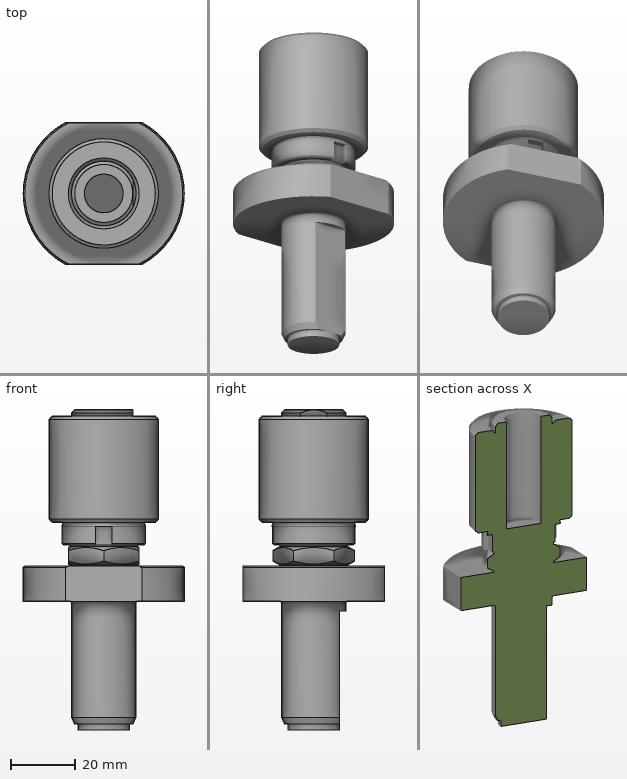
import math

import cadquery as cq


FLANGE_DIAMETER = 50.0
FLANGE_WIDTH = 44.0
FLANGE_THICKNESS = 11.0
FLANGE_CHAMFER = 0.5

SHAFT_DIAMETER = 20.0
END_DIAMETER = 16.0
END_LENGTH = 2.0
SHAFT_LENGTH = 38.0
ROOT_FILLET = 0.5
SHAFT_FLAT_OFFSET = END_DIAMETER / 2
SHAFT_FLAT_START = 3.0
SHAFT_CHAMFER_HEIGHT = 2.0
SHAFT_CHAMFER_INSET = 0.9

HEX_SIDES = 6
HEX_HALF_SECTOR = 180.0 / HEX_SIDES
HEX_ACROSS_FLATS = 22.0
WASHER_FACE_HEIGHT = 0.25
HEX_HEIGHT = 5.75
HEX_FACE_DIAMETER = 21.0
HEX_CHAMFER_ANGLE = 30.0

COLLAR_GAP = 0.5
COLLAR_DIAMETER = 26.0
COLLAR_HEIGHT = 5.75
COLLAR_CHAMFER = 0.5
COLLAR_TAPER_HEIGHT = 1.25
COLLAR_TAPER_INSET = 0.4
SLOT_WIDTH = 5.0
SLOT_FLOOR_OFFSET = 11.0

BODY_DIAMETER = 34.0
BODY_HEIGHT = 33.0
BODY_CHAMFER = 1.0

TUBE_DIAMETER = 20.0
TUBE_RISE = 2.0
TUBE_CHAMFER = 1.0
TUBE_FLAT_OFFSET = 9.1
BORE_DIAMETER = 12.0
COUNTERSINK_DIAMETER = 22.0
COUNTERSINK_DEPTH = 1.0

HEX_BOTTOM = FLANGE_THICKNESS + WASHER_FACE_HEIGHT
HEX_TOP = HEX_BOTTOM + HEX_HEIGHT
COLLAR_BOTTOM = HEX_TOP + COLLAR_GAP
COLLAR_TOP = COLLAR_BOTTOM + COLLAR_HEIGHT
BODY_BOTTOM = COLLAR_TOP + COLLAR_TAPER_HEIGHT
BODY_TOP = BODY_BOTTOM + BODY_HEIGHT
TUBE_TOP = BODY_TOP + TUBE_RISE
COUNTERSINK_FLOOR = BODY_TOP - COUNTERSINK_DEPTH


def turned(profile):
    """Revolve a closed (radius, height) profile about the Z axis."""
    return cq.Workplane("XZ").polyline(profile).close().revolve(360, (0, 0, 0), (0, 1, 0))


def disc(diameter, bottom, top):
    """Make a plain cylinder between two heights."""
    return cq.Workplane("XY").workplane(offset=bottom).circle(diameter / 2).extrude(top - bottom)


def block(x_size, y_size, bottom, top):
    """Make a rectangular block centred on the axis between two heights."""
    return cq.Workplane("XY").workplane(offset=bottom).rect(x_size, y_size).extrude(top - bottom)


def make_flange():
    rim = disc(FLANGE_DIAMETER, 0, FLANGE_THICKNESS).faces(">Z").chamfer(FLANGE_CHAMFER)
    return rim.intersect(block(FLANGE_DIAMETER, FLANGE_WIDTH, 0, FLANGE_THICKNESS))


def make_shaft():
    """Shaft with a concave root fillet under the flange, a side flat and a reduced end."""
    radius = SHAFT_DIAMETER / 2
    tip_radius = radius - SHAFT_CHAMFER_INSET
    shaft = (
        cq.Workplane("XZ")
        .lineTo(radius + ROOT_FILLET, 0)
        .radiusArc((radius, -ROOT_FILLET), -ROOT_FILLET)
        .lineTo(radius, SHAFT_CHAMFER_HEIGHT - SHAFT_LENGTH)
        .lineTo(tip_radius, -SHAFT_LENGTH)
        .lineTo(0, -SHAFT_LENGTH)
        .close()
        .revolve(360, (0, 0, 0), (0, 1, 0))
    )
    flat_cut = block(SHAFT_DIAMETER, SHAFT_DIAMETER, -SHAFT_LENGTH, -SHAFT_FLAT_START)
    flat_cut = flat_cut.translate((0, SHAFT_FLAT_OFFSET + radius, 0))
    end = disc(END_DIAMETER, -SHAFT_LENGTH - END_LENGTH, -SHAFT_LENGTH)
    return shaft.cut(flat_cut).union(end)


def make_hex_nut():
    """Hexagon with corners on the Y axis, both ends chamfered conically."""
    corner_diameter = HEX_ACROSS_FLATS / math.cos(math.radians(HEX_HALF_SECTOR))
    face_radius = HEX_FACE_DIAMETER / 2
    outer_radius = corner_diameter / 2
    drop = (outer_radius - face_radius) * math.tan(math.radians(HEX_CHAMFER_ANGLE))
    prism = (
        cq.Workplane("XY")
        .workplane(offset=HEX_BOTTOM)
        .polygon(HEX_SIDES, corner_diameter)
        .extrude(HEX_HEIGHT)
        .rotate((0, 0, 0), (0, 0, 1), HEX_HALF_SECTOR)
    )
    envelope = turned([
        (0, HEX_BOTTOM),
        (face_radius, HEX_BOTTOM),
        (outer_radius, HEX_BOTTOM + drop),
        (outer_radius, HEX_TOP - drop),
        (face_radius, HEX_TOP),
        (0, HEX_TOP),
    ])
    return prism.intersect(envelope)


def make_collar():
    """Collar with a tapered top and two opposite spanner slots open at the bottom."""
    radius = COLLAR_DIAMETER / 2
    collar = turned([
        (0, COLLAR_BOTTOM),
        (radius - COLLAR_CHAMFER, COLLAR_BOTTOM),
        (radius, COLLAR_BOTTOM + COLLAR_CHAMFER),
        (radius, COLLAR_TOP),
        (radius - COLLAR_TAPER_INSET, BODY_BOTTOM),
        (0, BODY_BOTTOM),
    ])
    slot = block(SLOT_WIDTH, COLLAR_DIAMETER, COLLAR_BOTTOM, COLLAR_TOP)
    for side in (-1, 1):
        collar = collar.cut(slot.translate((0, side * (SLOT_FLOOR_OFFSET + radius), 0)))
    return collar


def make_body():
    body = disc(BODY_DIAMETER, BODY_BOTTOM, BODY_TOP).faces("<Z or >Z").chamfer(BODY_CHAMFER)
    inner_radius = TUBE_DIAMETER / 2
    countersink = turned([
        (0, COUNTERSINK_FLOOR),
        (inner_radius, COUNTERSINK_FLOOR),
        (COUNTERSINK_DIAMETER / 2, BODY_TOP),
        (0, BODY_TOP),
    ])
    return body.cut(countersink)


def make_tube_end():
    tube = disc(TUBE_DIAMETER, COUNTERSINK_FLOOR, TUBE_TOP).faces(">Z").chamfer(TUBE_CHAMFER)
    flat_cut = block(TUBE_DIAMETER, TUBE_DIAMETER, COUNTERSINK_FLOOR, TUBE_TOP)
    return tube.cut(flat_cut.translate((TUBE_FLAT_OFFSET + TUBE_DIAMETER / 2, 0, 0)))


washer_face = disc(HEX_FACE_DIAMETER, FLANGE_THICKNESS, HEX_BOTTOM)
neck = disc(HEX_FACE_DIAMETER, HEX_TOP, COLLAR_BOTTOM)
bore = disc(BORE_DIAMETER, BODY_BOTTOM, TUBE_TOP)

result = (
    make_flange()
    .union(make_shaft())
    .union(make_hex_nut())
    .union(washer_face)
    .union(neck)
    .union(make_collar())
    .union(make_body())
    .union(make_tube_end())
    .cut(bore)
)